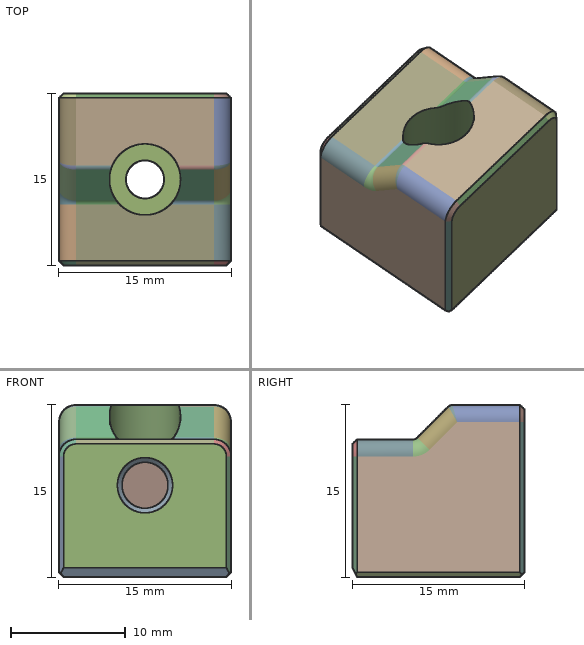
import cadquery as cq

size = 15.0
half = size / 2
step_height = 12.0
ramp_start_y = -2.0
ramp_end_y = ramp_start_y + size - step_height

bend_radius = 0.5
side_radius = 1.5
edge_chamfer = 0.4
front_foot_height = 2 * edge_chamfer

bore_diameter = 6.2
bore_floor_z = 5.0
screw_diameter = 3.3

pocket_diameter = 4.0
pocket_mouth_diameter = pocket_diameter + 2 * edge_chamfer
pocket_z = 8.0
pocket_depth = 2.0

selection_margin = 0.02


def edges_around(x, y, z):
    """Select edges centred in a small box that spans given X, Y and Z ranges."""
    low = [span[0] - selection_margin for span in (x, y, z)]
    high = [span[1] + selection_margin for span in (x, y, z)]
    return cq.selectors.BoxSelector(low, high)


def stepped_block():
    """Extrude the stepped side profile and round its edges."""
    profile = [
        (-half, 0),
        (half, 0),
        (half, size),
        (ramp_end_y, size),
        (ramp_start_y, step_height),
        (-half, step_height),
    ]
    block = cq.Workplane("YZ").polyline(profile).close().extrude(half, both=True)

    foot_of_ramp = edges_around((0, 0), (ramp_start_y, ramp_start_y), (step_height, step_height))
    block = block.edges(foot_of_ramp).fillet(bend_radius)

    for side in (-half, half):
        upper_side = edges_around((side, side), (-half, half), (step_height, size))
        upright = cq.selectors.ParallelDirSelector(cq.Vector(0, 0, 1))
        block = block.edges(upper_side - upright).fillet(side_radius)

    top_of_ramp = edges_around((0, 0), (ramp_end_y, ramp_end_y), (size, size))
    return block.edges(top_of_ramp).fillet(bend_radius)


def bevel_outer_edges(block):
    """Bevel the front and back outlines and the bottom edges."""
    front_foot = block.faces("<Y").edges("<Z")
    block = front_foot.chamfer(edge_chamfer, front_foot_height)
    block = block.faces("<Y").edges("not <Z").chamfer(edge_chamfer)
    block = block.faces(">Y").edges().chamfer(edge_chamfer)
    return block.faces("<Z").edges("<X or >X").chamfer(edge_chamfer)


def screw_hole():
    """Through hole with a deep counterbore from the top."""
    hole = cq.Workplane("XY").circle(screw_diameter / 2).extrude(size)
    bore = cq.Workplane("XY", origin=(0, 0, bore_floor_z)).circle(bore_diameter / 2).extrude(size)
    return hole.union(bore)


def front_pocket():
    """Flat-bottomed round pocket with a bevelled mouth, revolved about its Y axis."""
    radius = pocket_diameter / 2
    half_section = [
        (0, 0),
        (pocket_mouth_diameter / 2, 0),
        (radius, edge_chamfer),
        (radius, pocket_depth),
        (0, pocket_depth),
    ]
    section = cq.Workplane("XY", origin=(0, -half, pocket_z)).polyline(half_section).close()
    return section.revolve(360, (0, 0), (0, 1))


result = bevel_outer_edges(stepped_block()).cut(screw_hole()).cut(front_pocket())